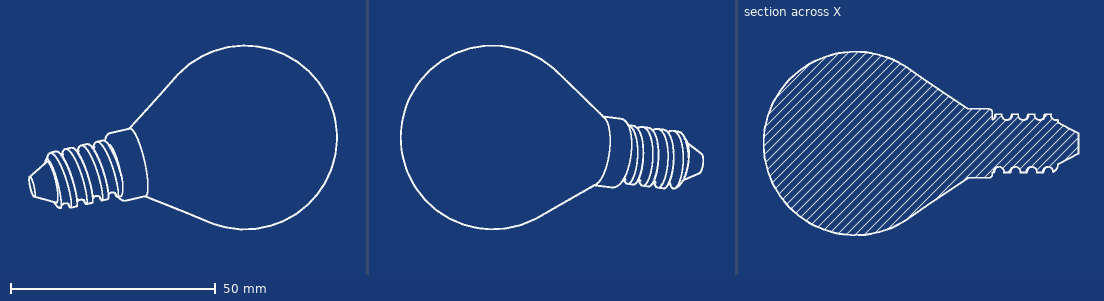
import cadquery as cq
import math

BALL_RADIUS = 22.5
CONE_WIDE_RADIUS = 19.0
COLLAR_RADIUS = 8.5
COLLAR_LENGTH = 6.0
COLLAR_FILLET = 1.0
HEAD_LENGTH = 50.0

SHANK_RADIUS = 7.15
SHANK_LENGTH = 16.0
SHANK_FILLET = 2.0
THREAD_PITCH = 4.0
GROOVE_RADIUS = 1.25
GROOVE_CENTRE_RADIUS = 7.0
GROOVE_START_DROP = 2.5
GROOVE_TURNS = 5

TIP_LENGTH = 5.0
TIP_WIDE_RADIUS = SHANK_RADIUS - SHANK_FILLET
TIP_END_RADIUS = 2.5

CONE_TOP = -math.sqrt(BALL_RADIUS**2 - CONE_WIDE_RADIUS**2)
COLLAR_TOP = BALL_RADIUS - HEAD_LENGTH
SHANK_TOP = COLLAR_TOP - COLLAR_LENGTH
TIP_TOP = SHANK_TOP - SHANK_LENGTH
TIP_END = TIP_TOP - TIP_LENGTH


def make_head():
    """Ball blending into a cone and a collar with a rounded lower rim."""
    outline = (
        cq.Workplane("XZ")
        .moveTo(0, BALL_RADIUS)
        .threePointArc((BALL_RADIUS, 0), (CONE_WIDE_RADIUS, CONE_TOP))
        .lineTo(COLLAR_RADIUS, COLLAR_TOP)
        .lineTo(COLLAR_RADIUS, SHANK_TOP)
        .lineTo(0, SHANK_TOP)
        .close()
    )
    return outline.revolve(360, (0, 0), (0, 1)).faces("<Z").edges().fillet(COLLAR_FILLET)


def make_groove_turn():
    """One right-hand turn of the round-bottomed groove cutter, starting at height zero on the +X side."""
    path = cq.Wire.makeHelix(THREAD_PITCH, THREAD_PITCH, GROOVE_CENTRE_RADIUS)
    profile = cq.Workplane("XZ").center(GROOVE_CENTRE_RADIUS, 0).circle(GROOVE_RADIUS)
    return profile.sweep(cq.Workplane(path), isFrenet=True)


def make_shank():
    """Round-ended cylinder with the thread groove cut around it turn by turn."""
    blank = cq.Workplane("XY").workplane(offset=TIP_TOP).circle(SHANK_RADIUS).extrude(SHANK_LENGTH)
    shank = blank.faces("<Z").edges().fillet(SHANK_FILLET)
    groove_turn = make_groove_turn()
    for turn in range(GROOVE_TURNS):
        turn_start = TIP_TOP - GROOVE_START_DROP + turn * THREAD_PITCH
        shank = shank.cut(groove_turn.translate((0, 0, turn_start)))
    return shank


def make_tip():
    """Truncated cone at the end of the shank."""
    return cq.Workplane(
        cq.Solid.makeCone(TIP_END_RADIUS, TIP_WIDE_RADIUS, TIP_LENGTH, cq.Vector(0, 0, TIP_END))
    )


bulb = make_head().union(make_shank()).union(make_tip())

result = bulb.rotate((0, 0, 0), (1, 0, 0), -90)